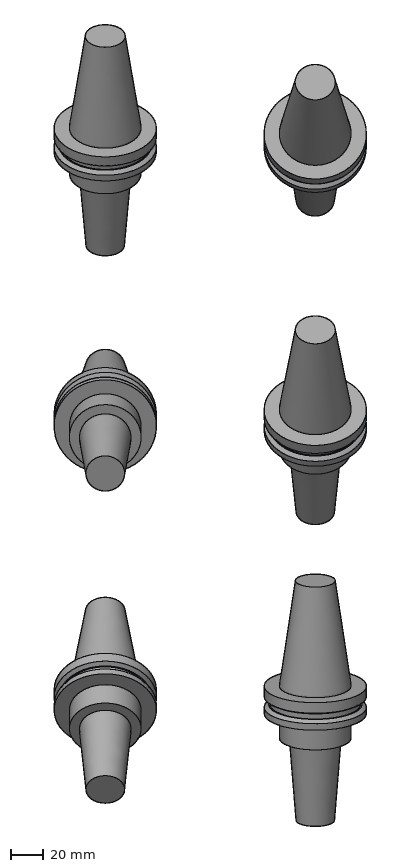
import cadquery as cq

total_height = 157.2
nose_cone_top = 50.9
nose_top = 53.7
flange_bottom = 70.0
flange_top = 88.0
shank_cone_bottom = 89.0

nose_tip_diameter = 24.0
nose_diameter = 31.9
collar_diameter = 44.5
flange_diameter = 63.5
groove_diameter = 56.3
groove_step_diameter = 58.0
shank_tip_diameter = 24.8

lower_rim_height = 4.2
upper_rim_height = 6.9
groove_floor_bottom = 76.0
groove_floor_top = 79.7

profile = [
    (nose_tip_diameter, 0),
    (nose_diameter, nose_cone_top),
    (nose_diameter, nose_top),
    (collar_diameter, nose_top),
    (collar_diameter, flange_bottom),
    (flange_diameter, flange_bottom),
    (flange_diameter, flange_bottom + lower_rim_height),
    (groove_step_diameter, groove_floor_bottom),
    (groove_diameter, groove_floor_bottom),
    (groove_diameter, groove_floor_top),
    (groove_step_diameter, groove_floor_top),
    (flange_diameter, flange_top - upper_rim_height),
    (flange_diameter, flange_top),
    (collar_diameter, flange_top),
    (collar_diameter, shank_cone_bottom),
    (shank_tip_diameter, total_height),
]

outline = [(0, 0)] + [(diameter / 2, height) for diameter, height in profile] + [(0, total_height)]
result = cq.Workplane("XZ").polyline(outline).close().revolve(360, (0, 0, 0), (0, 1, 0))